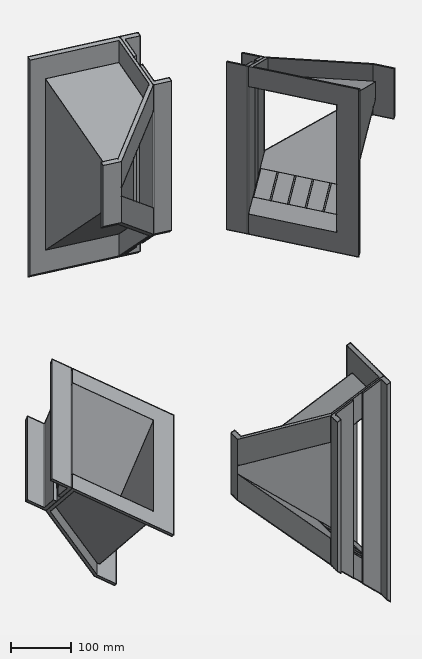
import cadquery as cq
import math

height = 381.0
width = 206.5
sheet = 6.5
flange = 38.0
rise_per_run = 2 / 3

back_y = 190.5
bend_x = 92.2
lip_y = flange

angle_leg = 38.0
outer_round = 2.3
inner_round = 1.5

insert_start_x = 24.8
insert_end_x = 66.5
insert_depth = 3.0
cell_count = 5
groove_width = 2.5
groove_depth = 0.5

slope_stretch = math.hypot(1, rise_per_run)
outer_half = height / 2
opening_half = outer_half - flange * slope_stretch
tunnel_half = opening_half + sheet * slope_stretch


def tapered_block(half_height, y_start, y_end):
    """Block that narrows evenly in Z from X = 0 to the full width."""
    end_half = half_height - rise_per_run * width
    outline = [(0, -half_height), (width, -end_half), (width, end_half), (0, half_height)]
    return cq.Workplane("XZ", origin=(0, y_end, 0)).polyline(outline).close().extrude(y_end - y_start)


def upright(plan):
    """Extrude a closed plan outline over the full height."""
    return plan.extrude(outer_half, both=True)


def make_folded_flanges():
    """Folded sheet: large end, back, diagonal and end lip, with sloping ends."""
    diagonal_dx = width - bend_x
    diagonal_dy = back_y - lip_y
    diagonal = math.hypot(diagonal_dx, diagonal_dy)
    bend_shift = sheet * (diagonal - diagonal_dy) / diagonal_dx
    bend_back = sheet * (diagonal - diagonal_dx) / diagonal_dy
    inside_bend_x = bend_x - bend_back
    inside_lip_y = lip_y - bend_shift
    plan = (
        cq.Workplane("XY")
        .polyline([
            (0, 0), (0, back_y), (bend_x, back_y), (width, lip_y), (width, 0),
            (width - sheet, 0), (width - sheet, inside_lip_y),
            (inside_bend_x, back_y - sheet), (sheet, back_y - sheet), (sheet, 0),
        ])
        .close()
    )
    return upright(plan).intersect(tapered_block(outer_half, 0, back_y))


def make_tunnel_block():
    """Solid envelope of the floor, roof and front panel."""
    front_y = flange - sheet
    plan = (
        cq.Workplane("XY")
        .polyline([(0, front_y), (0, back_y), (bend_x, back_y), (width, lip_y), (width, front_y)])
        .close()
    )
    return upright(plan).intersect(tapered_block(tunnel_half, front_y, back_y))


def floor_strip(depth, y_start, y_end):
    """Strip under the sloping floor, flush with it, over the insert's X range."""
    start_z = -opening_half + rise_per_run * insert_start_x
    end_z = -opening_half + rise_per_run * insert_end_x
    outline = [
        (insert_start_x, start_z), (insert_end_x, end_z),
        (insert_end_x, end_z - depth), (insert_start_x, start_z - depth),
    ]
    return cq.Workplane("XZ", origin=(0, y_end, 0)).polyline(outline).close().extrude(y_end - y_start)


def make_housing():
    housing = make_folded_flanges().union(make_tunnel_block())
    housing = housing.cut(tapered_block(opening_half, flange, back_y))
    return housing.cut(floor_strip(insert_depth, flange, back_y))


def make_insert():
    """Flush plate marked into equal cells by shallow grooves."""
    insert = floor_strip(insert_depth, flange, back_y)
    pitch = (back_y - flange) / cell_count
    for index in range(1, cell_count + 1):
        groove_y = flange + index * pitch
        groove_start = groove_y - groove_width / 2
        groove_end = min(back_y, groove_y + groove_width / 2)
        insert = insert.cut(floor_strip(groove_depth, groove_start, groove_end))
    return insert


def make_angle(corner_x, direction):
    """Upright angle on the back flange; direction is the way its flat leg points in X."""
    inner_x = corner_x + direction * sheet
    tip_x = corner_x + direction * angle_leg
    plan = (
        cq.Workplane("XY")
        .polyline([
            (corner_x, back_y), (tip_x, back_y), (tip_x, back_y + sheet),
            (inner_x, back_y + sheet), (inner_x, back_y + angle_leg), (corner_x, back_y + angle_leg),
        ])
        .close()
    )
    angle = upright(plan)
    angle = angle.edges(cq.NearestToPointSelector((corner_x, back_y, 0))).fillet(outer_round)
    angle = angle.edges(cq.NearestToPointSelector((inner_x, back_y + sheet, 0))).fillet(inner_round)
    return angle.intersect(tapered_block(outer_half, back_y, back_y + angle_leg))


housing = make_housing()
floor_insert = make_insert()
angles = [make_angle(corner_x, direction) for corner_x, direction in [(0, 1), (bend_x, -1)]]

result = cq.Compound.makeCompound([
    housing.solids().val(),
    floor_insert.solids().val(),
    *[angle.solids().val() for angle in angles],
])